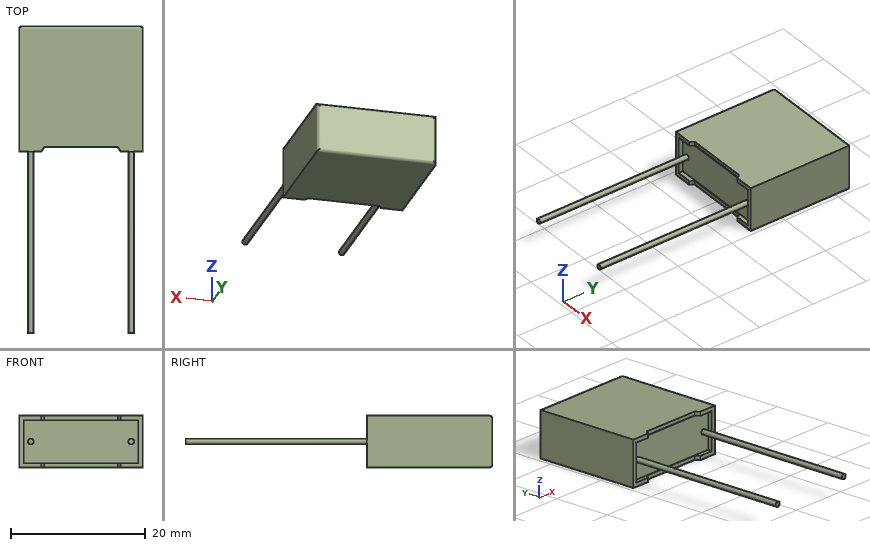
import cadquery as cq

case_width = 18.5
case_height = 7.8
case_length = 18.75
wall = 0.7
back_edge_radius = 0.5

notch_depth = 0.7
notch_mouth_inset = 3.35
notch_floor_inset = 3.8

fill_recess = 0.8

overall_length = 45.8
lead_diameter = 0.85
lead_spacing = 14.98

cavity_width = case_width - 2 * wall
cavity_height = case_height - 2 * wall
cavity_depth = case_length - wall
lead_tip_y = case_length - overall_length


def block_along_y(width, height, start_y, end_y):
    """Box centred on the Y axis, spanning start_y to end_y."""
    return cq.Workplane("XY").box(width, end_y - start_y, height).translate((0, (start_y + end_y) / 2, 0))


def make_rim_notch():
    """Trapezoidal cutter, widest at the rim, passing through both wide walls."""
    mouth_half = case_width / 2 - notch_mouth_inset
    floor_half = case_width / 2 - notch_floor_inset
    return (
        cq.Workplane("XY")
        .polyline([(-mouth_half, 0), (mouth_half, 0), (floor_half, notch_depth), (-floor_half, notch_depth)])
        .close()
        .extrude(case_height / 2, both=True)
    )


def make_case():
    """Open box with rounded back edges and a notched rim."""
    shell = block_along_y(case_width, case_height, 0, case_length)
    shell = shell.faces(">Y").edges().fillet(back_edge_radius)
    cavity = block_along_y(cavity_width, cavity_height, 0, cavity_depth)
    return shell.cut(cavity).cut(make_rim_notch())


def make_fill():
    """Resin block filling the cavity up to the recess."""
    return block_along_y(cavity_width, cavity_height, fill_recess, cavity_depth)


def make_lead(center_x):
    """Straight round wire from the resin face to its free tip."""
    return (
        cq.Workplane("XZ", origin=(center_x, fill_recess, 0))
        .circle(lead_diameter / 2)
        .extrude(fill_recess - lead_tip_y)
    )


case = make_case()
fill = make_fill()
leads = [make_lead(side * lead_spacing / 2) for side in (-1, 1)]

result = cq.Compound.makeCompound([case.val(), fill.val(), *[lead.val() for lead in leads]])